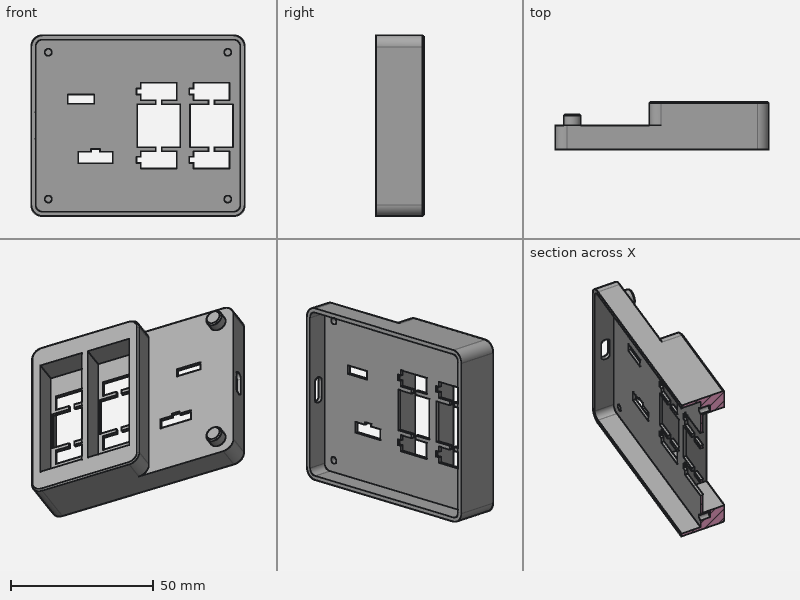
import cadquery as cq

width = 75.0
height = 63.5
base_depth = 8.55
wall = 1.6
corner_radius = 4.0
plate = 1.1
cavity_depth = base_depth - plate

total_depth = 16.9
block_width = 42.0
block_edge_chamfer = 0.6
block_center_x = (width - block_width) / 2

corner_inset = 6.0
post_diameter = 6.0
post_length = 3.8
post_chamfer = 0.5
hole_diameter = 2.5
hole_depth = post_length
post_x = width / 2 - corner_inset
post_z = height / 2 - corner_inset

first_column_x = 7.3
column_pitch = 18.5
column_centers = (first_column_x, first_column_x + column_pitch)
main_window = 15.0
side_window_width = 12.5
side_window_height = 6.0
bridge = 1.5
bridge_gap = 2.0
tab_length = 1.5
tab_height = 2.0
side_window_z = main_window / 2 + bridge + side_window_height / 2

pocket_height = 47.25
pocket_width = 16.2

plain_size = (9.2, 3.15)
plain_center = (-20.0, 9.3)
notched_size = (12.0, 4.0)
notched_center = (-14.9, -11.2)
notch_size = (3.0, 1.0)

slot_width = 3.4
slot_length = 9.3
slot_corner_radius = 1.5
slot_center_y = 4.3


def slab(size_x, size_z, center_x, center_z, y_start, y_end):
    """Box with the given X and Z size, reaching from y_start to y_end."""
    box = cq.Workplane("XY").box(size_x, y_end - y_start, size_z)
    return box.translate((center_x, (y_start + y_end) / 2, center_z))


def cylinder(diameter, x, z, y_start, y_end):
    """Round bar along Y, reaching from y_start to y_end."""
    axis_start = cq.Workplane("XZ", origin=(x, y_start, z))
    return axis_start.circle(diameter / 2).extrude(y_start - y_end)


def through_plate(size, center):
    """Rectangular cutter through the floor plate only."""
    return slab(*size, *center, cavity_depth, base_depth)


def make_tray():
    outside = slab(width, height, 0, 0, 0, base_depth).edges("|Y").fillet(corner_radius)
    cavity = slab(width - 2 * wall, height - 2 * wall, 0, 0, 0, cavity_depth)
    return outside.cut(cavity.edges("|Y").fillet(corner_radius - wall))


def make_block():
    block = slab(block_width, height, block_center_x, 0, cavity_depth, total_depth)
    block = block.edges("|Y").fillet(corner_radius)
    block = block.faces(">Y").chamfer(block_edge_chamfer)
    for x in column_centers:
        block = block.cut(slab(pocket_width, pocket_height, x, 0, base_depth, total_depth))
    return block


def make_post(z):
    post = cylinder(post_diameter, -post_x, z, base_depth, base_depth + post_length)
    return post.faces(">Y").chamfer(post_chamfer)


def column_windows(x):
    """Main window, the two side windows with their tabs, and the gap joining them."""
    windows = through_plate((main_window, main_window), (x, 0))
    windows = windows.union(through_plate((bridge_gap, 2 * side_window_z), (x, 0)))
    tab_x = x - (side_window_width + tab_length) / 2
    for z in (-side_window_z, side_window_z):
        windows = windows.union(through_plate((side_window_width, side_window_height), (x, z)))
        windows = windows.union(through_plate((tab_length, tab_height), (tab_x, z)))
    return windows


def notched_window():
    x, z = notched_center
    notch_z = z + (notched_size[1] + notch_size[1]) / 2
    return through_plate(notched_size, notched_center).union(through_plate(notch_size, (x, notch_z)))


def wall_slot():
    slot = cq.Workplane("XY").box(wall, slot_width, slot_length)
    slot = slot.edges("|X").fillet(slot_corner_radius)
    return slot.translate(((wall - width) / 2, slot_center_y, 0))


result = make_tray().union(make_block())

for z in (-post_z, post_z):
    result = result.union(make_post(z))
    for x in (-post_x, post_x):
        result = result.cut(cylinder(hole_diameter, x, z, cavity_depth, cavity_depth + hole_depth))

for x in column_centers:
    result = result.cut(column_windows(x))

result = result.cut(through_plate(plain_size, plain_center))
result = result.cut(notched_window())
result = result.cut(wall_slot())